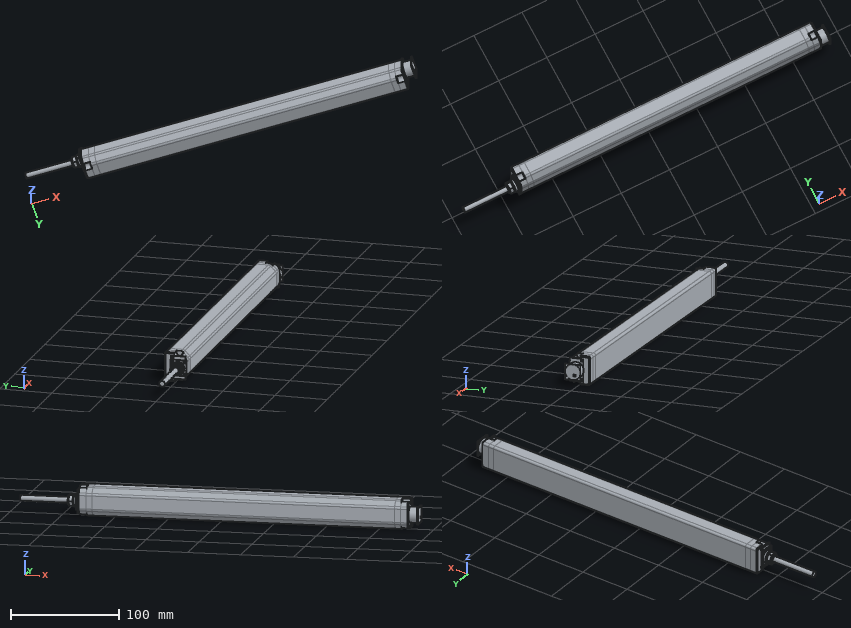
import cadquery as cq
import math

TOTAL_LENGTH = 378.0
HOUSING_START = 54.8
HOUSING_END = 367.7
HOUSING_MIDDLE = (HOUSING_START + HOUSING_END) / 2
CAP_SETBACK = 0.2
CAP_START = HOUSING_START + CAP_SETBACK
COLLAR_START = 62.7
PROFILE_START = 68.5

DEPTH = 21.0
HEIGHT = 28.0
FRONT_Y = -DEPTH / 2
BACK_ROUND = 2.3
BEVEL = 6.5
BEVEL_ROUND = 3.2
CAP_BACK_CHAMFER = 1.0

GROOVE_RADIUS = 3.5
GROOVE_Y = -2.3
GROOVE_Z = 12.5

PLATE_THICKNESS = 1.5
PLATE_BACK_Y = 4.0
PLATE_FRONT_Y = -9.5
PLATE_HALF_HEIGHT = 11.0

SCREW_HOLE_RADIUS = 1.0
PLATE_HOLE_DEPTH = 0.8
PLATE_HOLE_Y = 2.5
PLATE_HOLE_Z = 9.5

AXIS_Y = -3.0
FLANGE_SIZE = 2 * (AXIS_Y - FRONT_Y)
FLANGE_THICKNESS = 1.0
FLANGE_HOLE_SPACING = 11.7

PLUG_END = 376.8
KEY_WIDTH = 2.3
KEY_HEIGHT = 1.5
KEY_Y = -0.8
KEY_Z = -2.5

CABLE_RADIUS = 2.85
TIP_START = 45.0
TIP_RADIUS = 4.0
NUT_START = 46.0
NUT_ACROSS_FLATS = 10.2
WASHER_START = 50.0
GLAND_START = 51.0
GLAND_RADIUS = 6.0


def section(start, end):
    """A length of the housing, with rounded back corners and soft bevels at the front."""
    length = end - start
    block = cq.Workplane("XY").box(length, DEPTH, HEIGHT).translate(((start + end) / 2, 0, 0))
    block = block.edges("|X and <Y").chamfer(BEVEL)
    block = block.edges("|X and >Y").fillet(BACK_ROUND)
    bevel_edges = cq.selectors.BoxSelector(
        (start - 3.8, FRONT_Y - 3.8, -HEIGHT), (end + 3.8, FRONT_Y + BEVEL + BEVEL_ROUND / 2, HEIGHT)
    )
    return block.edges("|X").edges(bevel_edges).fillet(BEVEL_ROUND)


def on_axis(start):
    """A sketch plane across the cable axis."""
    return cq.Workplane("YZ", origin=(start, AXIS_Y, 0))


def disc(start, end, radius):
    return on_axis(start).circle(radius).extrude(end - start)


def square_flange(start):
    return on_axis(start).rect(FLANGE_SIZE, FLANGE_SIZE).extrude(FLANGE_THICKNESS)


def mirrored_to_far_end(body):
    return body.mirror("YZ", (HOUSING_MIDDLE, 0, 0))


def make_end_cap():
    """The cap at the cable end, with its grooves, end plate and screw holes."""
    cap = section(CAP_START, COLLAR_START)
    cap = cap.edges("<X and >Y").chamfer(CAP_BACK_CHAMFER)
    grooves = (
        cq.Workplane("YZ", origin=(CAP_START, 0, 0))
        .pushPoints([(GROOVE_Y, side * GROOVE_Z) for side in (-1, 1)])
        .circle(GROOVE_RADIUS)
        .extrude(COLLAR_START - CAP_START)
    )
    plate_depth = PLATE_BACK_Y - PLATE_FRONT_Y
    plate = (
        cq.Workplane("YZ", origin=(HOUSING_START, (PLATE_BACK_Y + PLATE_FRONT_Y) / 2, 0))
        .rect(plate_depth, 2 * PLATE_HALF_HEIGHT)
        .extrude(PLATE_THICKNESS)
    )
    screw_holes = (
        cq.Workplane("YZ", origin=(HOUSING_START, 0, 0))
        .pushPoints([(PLATE_HOLE_Y, side * PLATE_HOLE_Z) for side in (-1, 1)])
        .circle(SCREW_HOLE_RADIUS)
        .extrude(PLATE_HOLE_DEPTH)
    )
    return cap.cut(grooves).union(plate).cut(screw_holes)


def make_plug():
    """The round plug at the far end, with a square rim and a small key on its end face."""
    plug = disc(HOUSING_END, PLUG_END, FLANGE_SIZE / 2)
    plug = plug.union(square_flange(PLUG_END - FLANGE_THICKNESS))
    key = (
        cq.Workplane("YZ", origin=(PLUG_END, KEY_Y, KEY_Z))
        .rect(KEY_WIDTH, KEY_HEIGHT)
        .extrude(TOTAL_LENGTH - PLUG_END)
    )
    return plug.union(key)


def make_housing():
    """The housing; its lengths stay separate faces, so the joints show as lines."""
    profile_end = 2 * HOUSING_MIDDLE - PROFILE_START
    cap = make_end_cap()
    collar = section(COLLAR_START, PROFILE_START)
    body = section(PROFILE_START, profile_end)
    for part in (collar, cap):
        body = body.union(part, clean=False)
        body = body.union(mirrored_to_far_end(part), clean=False)
    return body.union(make_plug(), clean=False)


def make_cable():
    """The cable with its gland: tip, hexagon nut, washer, round base and square flange."""
    flange_start = HOUSING_START - FLANGE_THICKNESS
    flange = square_flange(flange_start)
    flange_holes = (
        on_axis(flange_start)
        .rect(FLANGE_HOLE_SPACING, FLANGE_HOLE_SPACING, forConstruction=True)
        .vertices()
        .circle(SCREW_HOLE_RADIUS)
        .extrude(FLANGE_THICKNESS)
    )
    nut_across_corners = NUT_ACROSS_FLATS / math.cos(math.pi / 6)
    nut = on_axis(NUT_START).polygon(6, nut_across_corners).extrude(WASHER_START - NUT_START)
    return (
        disc(0, TIP_START, CABLE_RADIUS)
        .union(disc(TIP_START, NUT_START, TIP_RADIUS))
        .union(nut)
        .union(disc(WASHER_START, GLAND_START, NUT_ACROSS_FLATS / 2))
        .union(disc(GLAND_START, flange_start, GLAND_RADIUS))
        .union(flange.cut(flange_holes))
    )


housing = make_housing()
cable = make_cable()
result = cq.Compound.makeCompound([housing.solids().val(), cable.solids().val()])